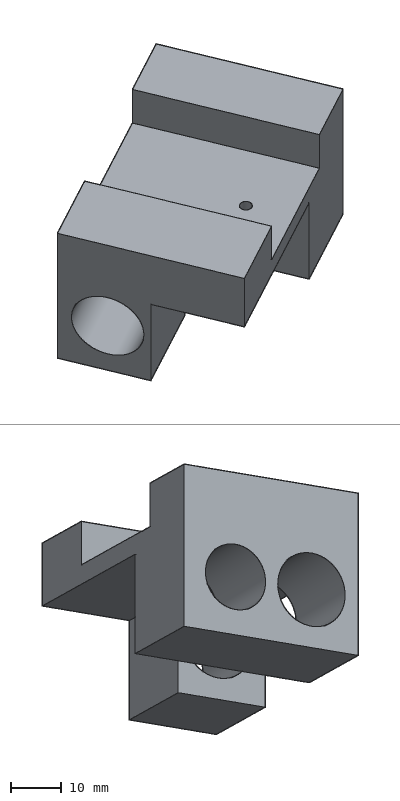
import cadquery as cq

width = 39.0
length = 58.0
height = 33.45

front_rail = 16.0
rear_rail = 14.0
channel_depth = 9.0

leg_thickness = 20.0
leg_height = 20.5
front_leg_width = width / 2

bore_z = 11.95
large_bore_x = 10.5
large_bore_diameter = 15.1
small_bore_x = 27.5
small_bore_diameter = 13.45
web_hole_x = 29.0
web_hole_diameter = 2.5


def box(x_size, y_size, z_size, corner):
    """Box extending in the positive directions from its corner."""
    return cq.Workplane("XY").box(x_size, y_size, z_size, centered=False).translate(corner)


def bore_along_y(x, diameter):
    """Cylinder along Y through the full length at the bore height."""
    circle = cq.Workplane("XZ").center(x, bore_z).circle(diameter / 2)
    return circle.extrude(-length)


body = box(width, length, height, (0, 0, 0))

channel_width = length - front_rail - rear_rail
channel = box(width, channel_width, channel_depth, (0, front_rail, height - channel_depth))

leg_gap = box(width, length - 2 * leg_thickness, leg_height, (0, leg_thickness, 0))

front_relief = box(width - front_leg_width, leg_thickness, leg_height, (front_leg_width, 0, 0))

body = body.cut(channel).cut(leg_gap).cut(front_relief)

body = body.cut(bore_along_y(large_bore_x, large_bore_diameter))
body = body.cut(bore_along_y(small_bore_x, small_bore_diameter))

web_hole = cq.Workplane("XY").center(web_hole_x, length / 2).circle(web_hole_diameter / 2).extrude(height)
result = body.cut(web_hole)